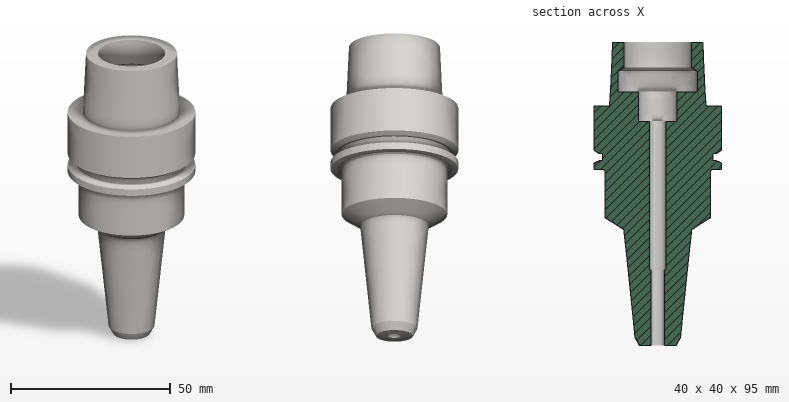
import cadquery as cq

total_height = 95.0
nose_chamfer_top = 2.6
neck_top = 36.3
shoulder_top = 40.0
body_top = 54.5
flange_bottom = 55.0
lower_rim_top = 57.2
groove_bottom = 57.95
groove_top = 60.0
upper_rim_bottom = 61.1
flange_top = 75.05

flange_radius = 40.0 / 2
groove_lip_radius = 18.3
groove_radius = 17.4
relief_radius = 17.0
body_radius = 16.5
neck_radius = 10.7
nose_radius = 7.2
nose_face_radius = 5.8
taper_base_radius = 15.2
taper_tip_radius = 14.25

socket_radius = 10.5
clamp_radius = 12.35
clamp_edge_depth = 8.1
clamp_cone_height = 1.0
socket_depth = 15.5
pocket_radius = 6.0
pocket_depth = 24.7
channel_radius = 2.5
tool_bore_radius = 2.0
tool_bore_length = 23.75


def revolve_profile(points):
    """Revolve a closed (radius, height) outline about the Z axis."""
    profile = cq.Workplane("XZ").polyline(points).close()
    return profile.revolve(360, (0, 0, 0), (0, 1, 0))


def make_holder():
    return revolve_profile([
        (0, 0),
        (nose_face_radius, 0),
        (nose_radius, nose_chamfer_top),
        (neck_radius, neck_top),
        (body_radius, shoulder_top),
        (body_radius, body_top),
        (relief_radius, flange_bottom),
        (flange_radius, flange_bottom),
        (flange_radius, lower_rim_top),
        (groove_lip_radius, groove_bottom),
        (groove_radius, groove_bottom),
        (groove_radius, groove_top),
        (groove_lip_radius, groove_top),
        (flange_radius, upper_rim_bottom),
        (flange_radius, flange_top),
        (taper_base_radius, flange_top),
        (taper_tip_radius, total_height),
        (0, total_height),
    ])


def make_bore():
    clamp_edge = total_height - clamp_edge_depth
    socket_floor = total_height - socket_depth
    pocket_floor = total_height - pocket_depth
    return revolve_profile([
        (0, 0),
        (tool_bore_radius, 0),
        (tool_bore_radius, tool_bore_length),
        (channel_radius, tool_bore_length),
        (channel_radius, pocket_floor),
        (pocket_radius, pocket_floor),
        (pocket_radius, socket_floor),
        (clamp_radius, socket_floor),
        (clamp_radius, clamp_edge - clamp_cone_height),
        (socket_radius, clamp_edge),
        (socket_radius, total_height),
        (0, total_height),
    ])


result = make_holder().cut(make_bore())